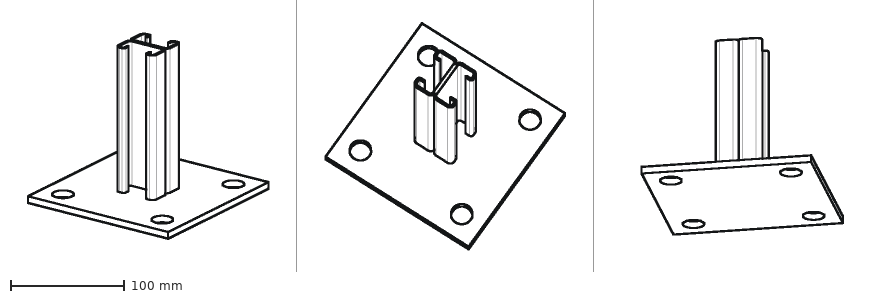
import cadquery as cq

plate_side = 152.4
plate_thickness = 6.4
hole_diameter = 19.0
hole_spacing = 107.9

total_height = 143.0
post_height = total_height - plate_thickness
channel_width = 41.5
channel_depth = channel_width / 2
wall = 1.8
bend_radius = 4.3
lip_bend_radius = 2.5
flange_width = 9.5
lip_length = 7.3


def make_plate():
    """Square plate, bottom on Z = 0, with a through hole near each corner."""
    return (
        cq.Workplane("XY")
        .box(plate_side, plate_side, plate_thickness, centered=(True, True, False))
        .faces(">Z")
        .workplane()
        .rect(hole_spacing, hole_spacing, forConstruction=True)
        .vertices()
        .hole(hole_diameter)
    )


def make_channel():
    """Channel with its back on the XZ plane and its mouth facing +Y.

    The mid-line of the sheet is drawn from one lip tip to the other, then
    thickened to both sides; the thickening also rounds the lip tips.
    """
    half_wall = wall / 2
    bend = bend_radius - half_wall
    lip_bend = lip_bend_radius - half_wall
    side_x = channel_width / 2 - half_wall
    lip_x = channel_width / 2 - flange_width + half_wall
    back_y = half_wall
    flange_y = channel_depth - half_wall
    tip_y = channel_depth - lip_length + half_wall

    mid_line = (
        cq.Workplane("XY", origin=(0, 0, plate_thickness))
        .moveTo(lip_x, tip_y)
        .lineTo(lip_x, flange_y - lip_bend)
        .radiusArc((lip_x + lip_bend, flange_y), lip_bend)
        .lineTo(side_x - bend, flange_y)
        .radiusArc((side_x, flange_y - bend), bend)
        .lineTo(side_x, back_y + bend)
        .radiusArc((side_x - bend, back_y), bend)
        .lineTo(bend - side_x, back_y)
        .radiusArc((-side_x, back_y + bend), bend)
        .lineTo(-side_x, flange_y - bend)
        .radiusArc((bend - side_x, flange_y), bend)
        .lineTo(-lip_x - lip_bend, flange_y)
        .radiusArc((-lip_x, flange_y - lip_bend), lip_bend)
        .lineTo(-lip_x, tip_y)
    )
    return mid_line.wire().offset2D(half_wall).extrude(post_height)


channel = make_channel()
result = make_plate().union(channel).union(channel.mirror("XZ"))